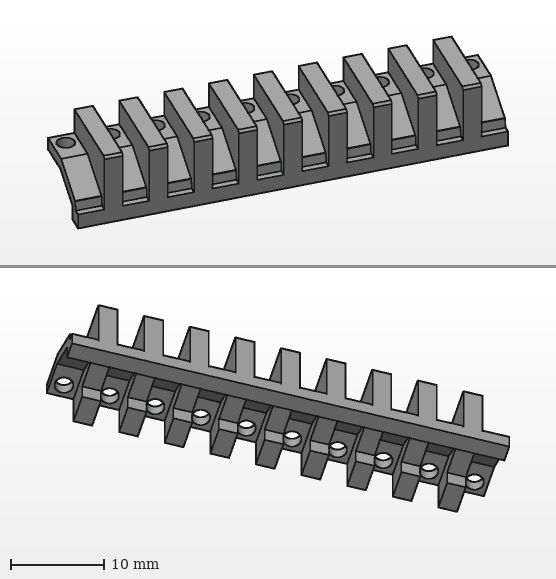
import cadquery as cq
import math

width = 9.8
length = 48.7
height = 8.55

fin_count = 9
bay_count = fin_count + 1
fin_thickness = 2.1
pitch = (length + fin_thickness) / bay_count
fin_chamfer = 0.3

slot_start = 3.35
slot_end = 7.9
slot_height = 1.9

web_top = 5.5
web_underside = 4.05
top_bend = 4.3
slope = math.tan(math.radians(30))

foot_height = 1.8
lip_start = 8.75
lip_end = 8.85
ledge_start = 9.0

hole_diameter = 2.0
hole_x = 1.5


def row_positions(count):
    """Y centres of a row spaced by the pitch and centred on the length."""
    first = (length - (count - 1) * pitch) / 2
    return [first + i * pitch for i in range(count)]


def make_web():
    """Flat shelf, sloping down to a narrow lip, then a steep step to the ledge on the foot."""
    underside_bend = slot_end - (web_underside - foot_height) / slope
    lip_height = web_top - (lip_start - top_bend) * slope
    outline = [
        (0, web_underside),
        (underside_bend, web_underside),
        (slot_end, foot_height),
        (slot_end, 0),
        (width, 0),
        (width, foot_height),
        (ledge_start, foot_height),
        (lip_end, lip_height),
        (lip_start, lip_height),
        (top_bend, web_top),
        (0, web_top),
    ]
    return cq.Workplane("XZ").polyline(outline).close().extrude(-length)


def make_fin(y_center):
    """Upright plate, slotted underneath and chamfered on its top outer edge."""
    fin = cq.Workplane("XY").box(width, fin_thickness, height, centered=(False, True, False))
    fin = fin.edges(">X and >Z").chamfer(fin_chamfer)
    slot = (
        cq.Workplane("XY")
        .box(slot_end - slot_start, fin_thickness, slot_height, centered=(False, True, False))
        .translate((slot_start, 0, 0))
    )
    return fin.cut(slot).translate((0, y_center, 0))


def make_holes():
    """Cylinders for the row of vertical holes."""
    centers = [(hole_x, y) for y in row_positions(bay_count)]
    return cq.Workplane("XY").pushPoints(centers).circle(hole_diameter / 2).extrude(height)


result = make_web().cut(make_holes())
for fin_y in row_positions(fin_count):
    result = result.union(make_fin(fin_y))